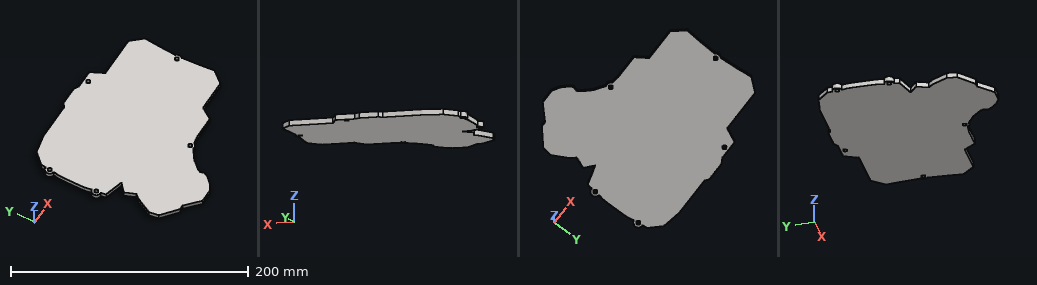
import cadquery as cq

thickness = 5.0
width = 164.0
depth = 153.2

hole_diameter = 3.5
ear_radius = 4.3
left_hole_x = ear_radius
side_axis_y = 105.5
left_hole_offset = 22.6
right_axis_y = 93.3

top_edge_y = 150.5
hole_centers = [
    (left_hole_x, side_axis_y + left_hole_offset),
    (left_hole_x, side_axis_y - left_hole_offset),
    (100.8, top_edge_y - ear_radius),
    (158.7, right_axis_y),
    (85.3, 38.0),
]

right_corner_offset = 33.8
right_shoulder_offset = 45.0
right_bend_offset = 18.9
right_shoulder_x = 154.5
right_bend_x = 162.7
right_waist_x = 161.5
lower_ledge_y = 37.5

left_edge_half = [(2.5, 8.9), (2.8, 14.0), (3.8, 18.7), (4.6, 26.7), (5.2, 31.5)]

right_edge_half = [
    (right_shoulder_x, right_shoulder_offset),
    (width, right_corner_offset),
    (right_bend_x, right_bend_offset),
]

top_edge = [
    (15.1, 147.3),
    (32.3, top_edge_y),
    (67.7, top_edge_y),
    (70.7, depth),
    (87.9, depth),
    (92.5, top_edge_y),
    (109.7, top_edge_y),
    (115.6, right_axis_y + right_shoulder_offset),
]

lower_right_edge = [
    (125.1, right_axis_y - right_shoulder_offset),
    (117.9, lower_ledge_y),
    (96.6, lower_ledge_y),
    (86.5, 36.0),
    (74.1, 27.5),
    (66.9, 19.7),
    (65.5, 16.9),
    (66.5, 12.8),
    (63.8, 8.5),
    (58.9, 3.6),
]

lower_left_edge = [
    (52.6, 0),
    (40.2, 0),
    (28.4, 11.2),
    (27.7, 12.1),
    (23.3, 12.1),
    (21.8, 13.1),
    (8.5, 24.5),
    (7.2, 33.3),
    (14.6, 47.5),
    (18.5, 52.0),
    (14.6, 62.0),
    (22.6, 68.9),
]


def upper_half(points, axis_y):
    return [(x, axis_y + offset) for x, offset in points]


def lower_half(points, axis_y):
    """Mirrored half, in reverse order so that the outline keeps running on."""
    return [(x, axis_y - offset) for x, offset in reversed(points)]


outline = (
    upper_half(left_edge_half, side_axis_y)
    + top_edge
    + upper_half(right_edge_half, right_axis_y)
    + [(right_waist_x, right_axis_y)]
    + lower_half(right_edge_half, right_axis_y)
    + lower_right_edge
    + lower_left_edge
    + lower_half(left_edge_half, side_axis_y)
)

plate = cq.Workplane("XY").polyline(outline).close().extrude(thickness)
ears = cq.Workplane("XY").pushPoints(hole_centers).circle(ear_radius).extrude(thickness)
holes = cq.Workplane("XY").pushPoints(hole_centers).circle(hole_diameter / 2).extrude(thickness)

result = plate.union(ears).cut(holes)